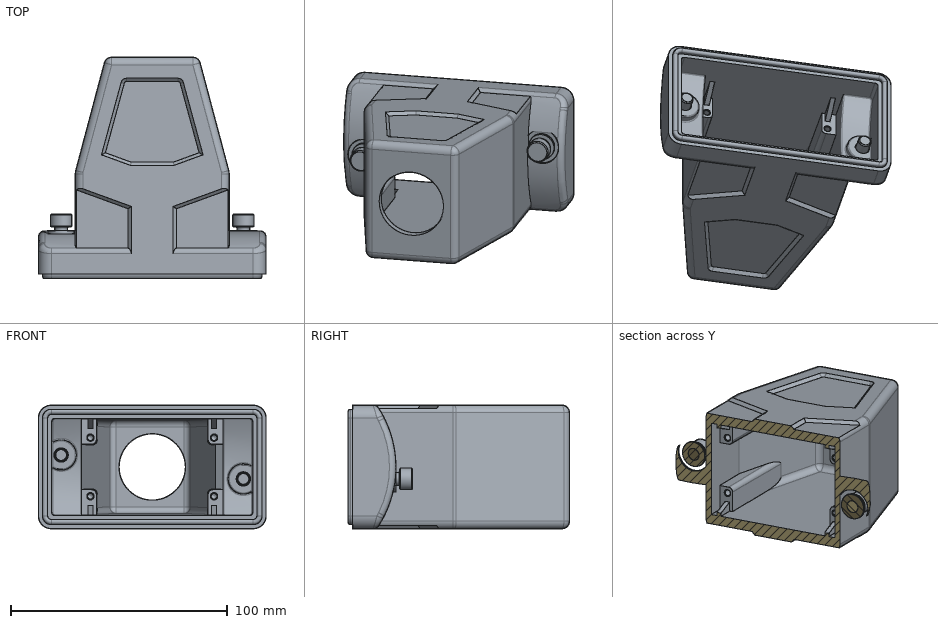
import cadquery as cq
import math


OVERLAP = 1.0
SELECT_MARGIN = 0.1

HEIGHT = 57.0
HALF_HEIGHT = HEIGHT / 2
BODY_LENGTH = 100.0
BODY_HALF_WIDTH = 35.5
REAR_HALF_WIDTH = 21.4
TAPER_START = 47.0
TAPER_BLEND_RADIUS = 6.0
BODY_EDGE_RADIUS = 3.5
CABLE_HOLE_DIAMETER = 30.5

FLANGE_WIDTH = 105.0
FLANGE_HALF_WIDTH = FLANGE_WIDTH / 2
FLANGE_CORNER_RADIUS = 6.0
FLANGE_DEPTH = 20.0
FLANGE_CROWN_RADIUS = 50.0
FLANGE_EDGE_RADIUS = 3.0
CROWN_CENTRE_Y = FLANGE_DEPTH - FLANGE_CROWN_RADIUS

RECESS_DEPTH = 1.5
RECESS_WALL_TAPER = 45.0
RECESS_TIP_SLOPE = math.radians(20.0)
GRIP_INNER_X = 9.65
GRIP_INNER_Y = 31.2
GRIP_OUTER_X = FLANGE_HALF_WIDTH
LABEL_REAR_HALF_WIDTH = 13.8
LABEL_REAR_Y = 90.3
LABEL_FRONT_HALF_WIDTH = 23.4
LABEL_SIDE_Y = 55.0
LABEL_TIP_HALF_WIDTH = 10.0
LABEL_CORNER_RADIUS = 2.6

CAVITY_HALF_WIDTH = 32.5
CAVITY_HALF_HEIGHT = 22.4
CAVITY_REAR_HALF_HEIGHT = 21.4
CAVITY_REAR_Y = 96.0
CAVITY_RADIUS = 3.0
CAVITY_DRAFT = math.degrees(math.atan((CAVITY_HALF_HEIGHT - CAVITY_REAR_HALF_HEIGHT) / CAVITY_REAR_Y))
CAVITY_STEP_RADIUS = 0.5
LEFT_TAPER_Y = 45.0
LEFT_REAR_X = 18.9
RIGHT_STEP_X = 29.2
RIGHT_STEP_Y = 50.0
RIGHT_STEP_LENGTH = 2.0
RIGHT_REAR_X = 16.9
MOUTH_HALF_WIDTH = 46.4
MOUTH_CORNER_RADIUS = 1.5
FLANGE_ROOF_THICKNESS = 3.0

POST_FRONT_Y = 27.0
POST_REAR_Y = 72.0
POST_INNER_X = 25.8
POST_INNER_Z = 10.5
POST_CORNER_RADIUS = 2.0
POST_DRAFT = 0.6
POST_HOLE_X = 28.5
POST_HOLE_Z = 13.5
POST_HOLE_DIAMETER = 2.67
POST_HOLE_CHAMFER = 0.35
POST_HOLE_DEPTH = 12.0
DRILL_TIP_ANGLE = 118.0
GUSSET_WIDTH = 2.3
GUSSET_HEIGHT = 4.7
GUSSET_LENGTH = 12.5

SCREW_X = 42.0
SCREW_Z = 5.5
SCREW_DIAMETER = 6.0
SCREW_HOLE_DIAMETER = 6.6
SCREW_END_Y = 8.0
SCREW_END_CHAMFER = 0.5
HEAD_DIAMETER = 10.0
HEAD_BOTTOM_Y = 21.7
HEAD_HEIGHT = 6.0
HEAD_CHAMFER = 0.5
UNDERHEAD_RADIUS = 0.5
WASHER_DIAMETER = 12.0
WASHER_THICKNESS = 1.5
SEAT_DIAMETER = 16.0
SEAT_Y = FLANGE_DEPTH - WASHER_THICKNESS
INNER_BOSS_DIAMETER = 14.0
INNER_BOSS_Y = 13.5
INNER_BOSS_FILLET = 0.5
SCREW_PLACES = [(-SCREW_X, SCREW_Z), (SCREW_X, -SCREW_Z)]

GASKET_HEIGHT = 2.13
GASKET_INSET = 1.9
GASKET_SECTION = 2.4


def rounded_bar(half_width, half_height, radius, y_start, y_end):
    """Rectangular bar along Y with rounded long edges."""
    return (
        cq.Workplane("XZ", origin=(0, y_start, 0))
        .rect(2 * half_width, 2 * half_height)
        .extrude(y_start - y_end)
        .edges("|Y")
        .fillet(radius)
    )


def y_cylinder(x, z, diameter, y_start, y_end):
    """Cylinder along Y between two Y positions."""
    return cq.Workplane("XZ", origin=(x, y_start, z)).circle(diameter / 2).extrude(y_start - y_end)


def crown(radius, half_width):
    """Solid below an arc-shaped roof that curves across Z."""
    return (
        cq.Workplane("YZ", origin=(-half_width, 0, 0))
        .center(CROWN_CENTRE_Y, 0)
        .circle(radius)
        .extrude(2 * half_width)
    )


def mirrored_across_z(shape):
    return shape.union(shape.mirror("XY"))


def recess_cutter(outline):
    """Cutter whose walls slope inward from the outline on the face down to the recess floor."""
    return outline.extrude(-RECESS_DEPTH, taper=RECESS_WALL_TAPER)


def grip_recess(side):
    """Recess on one side of the upper face, open towards the side wall and the flange."""
    outer_rise = (GRIP_OUTER_X - GRIP_INNER_X) * math.tan(RECESS_TIP_SLOPE)
    outline = cq.Workplane("XY", origin=(0, 0, HALF_HEIGHT)).polyline(
        [
            (side * GRIP_INNER_X, 0),
            (side * GRIP_INNER_X, GRIP_INNER_Y),
            (side * GRIP_OUTER_X, GRIP_INNER_Y + outer_rise),
            (side * GRIP_OUTER_X, 0),
        ]
    ).close()
    return recess_cutter(outline)


def label_recess():
    """Shield-shaped recess near the cable end of the upper face."""
    tip_drop = (LABEL_FRONT_HALF_WIDTH - LABEL_TIP_HALF_WIDTH) * math.tan(RECESS_TIP_SLOPE)
    tip_y = LABEL_SIDE_Y - tip_drop
    sketch = (
        cq.Sketch()
        .polygon(
            [
                (-LABEL_REAR_HALF_WIDTH, LABEL_REAR_Y),
                (LABEL_REAR_HALF_WIDTH, LABEL_REAR_Y),
                (LABEL_FRONT_HALF_WIDTH, LABEL_SIDE_Y),
                (LABEL_TIP_HALF_WIDTH, tip_y),
                (-LABEL_TIP_HALF_WIDTH, tip_y),
                (-LABEL_FRONT_HALF_WIDTH, LABEL_SIDE_Y),
                (-LABEL_REAR_HALF_WIDTH, LABEL_REAR_Y),
            ]
        )
        .vertices(">Y")
        .fillet(LABEL_CORNER_RADIUS)
    )
    return recess_cutter(cq.Workplane("XY", origin=(0, 0, HALF_HEIGHT)).placeSketch(sketch))


def tapered_body():
    """Outer block of the hood, with its recesses."""
    body = (
        cq.Workplane("XY", origin=(0, 0, -HALF_HEIGHT))
        .polyline(
            [
                (-BODY_HALF_WIDTH, 0),
                (BODY_HALF_WIDTH, 0),
                (BODY_HALF_WIDTH, TAPER_START),
                (REAR_HALF_WIDTH, BODY_LENGTH),
                (-REAR_HALF_WIDTH, BODY_LENGTH),
                (-BODY_HALF_WIDTH, TAPER_START),
            ]
        )
        .close()
        .extrude(HEIGHT)
    )
    taper_breaks = cq.selectors.BoxSelector(
        (-FLANGE_WIDTH, TAPER_START - SELECT_MARGIN, -SELECT_MARGIN),
        (FLANGE_WIDTH, TAPER_START + SELECT_MARGIN, SELECT_MARGIN),
    )
    body = body.edges(taper_breaks).fillet(TAPER_BLEND_RADIUS)
    body = body.edges("(>Z or <Z or >Y) and (not <Y)").fillet(BODY_EDGE_RADIUS)
    for recess in (grip_recess(-1), grip_recess(1), label_recess()):
        body = body.cut(mirrored_across_z(recess))
    return body


def flange():
    """Rounded rectangular flange with a crowned back and the two flat washer seats."""
    plate = rounded_bar(FLANGE_HALF_WIDTH, HALF_HEIGHT, FLANGE_CORNER_RADIUS, 0, FLANGE_DEPTH)
    plate = plate.intersect(crown(FLANGE_CROWN_RADIUS, FLANGE_WIDTH))
    plate = plate.faces(">Y").edges().fillet(FLANGE_EDGE_RADIUS)
    for x, z in SCREW_PLACES:
        plate = plate.cut(y_cylinder(x, z, SEAT_DIAMETER, SEAT_Y, FLANGE_DEPTH + OVERLAP))
    return plate


def flange_cavity():
    """Wide cavity behind the mouth, roofed parallel to the crown and indented by the screw bosses."""
    mouth = (
        cq.Sketch()
        .rect(2 * MOUTH_HALF_WIDTH, 2 * CAVITY_HALF_HEIGHT)
        .vertices()
        .fillet(MOUTH_CORNER_RADIUS)
    )
    cavity = cq.Workplane("XZ").placeSketch(mouth).extrude(-FLANGE_DEPTH, taper=CAVITY_DRAFT)
    cavity = cavity.intersect(crown(FLANGE_CROWN_RADIUS - FLANGE_ROOF_THICKNESS, FLANGE_WIDTH))
    for x, z in SCREW_PLACES:
        boss = y_cylinder(x, z, INNER_BOSS_DIAMETER, INNER_BOSS_Y, FLANGE_DEPTH)
        cavity = cavity.cut(boss)
    boss_edges = cq.selectors.BoxSelector(
        (-FLANGE_WIDTH, INNER_BOSS_Y - SELECT_MARGIN, -HALF_HEIGHT),
        (FLANGE_WIDTH, FLANGE_DEPTH, HALF_HEIGHT),
    )
    return cavity.edges(boss_edges).fillet(INNER_BOSS_FILLET)


def body_cavity():
    """Tapered cavity inside the body; its right wall steps inward ahead of the taper."""
    plan = (
        cq.Workplane("XY", origin=(0, 0, -CAVITY_HALF_HEIGHT))
        .polyline(
            [
                (-CAVITY_HALF_WIDTH, 0),
                (CAVITY_HALF_WIDTH, 0),
                (CAVITY_HALF_WIDTH, RIGHT_STEP_Y - RIGHT_STEP_LENGTH),
                (RIGHT_STEP_X, RIGHT_STEP_Y),
                (RIGHT_REAR_X, CAVITY_REAR_Y),
                (-LEFT_REAR_X, CAVITY_REAR_Y),
                (-CAVITY_HALF_WIDTH, LEFT_TAPER_Y),
            ]
        )
        .close()
        .extrude(2 * CAVITY_HALF_HEIGHT)
    )
    draft = (
        cq.Workplane("YZ", origin=(-CAVITY_HALF_WIDTH, 0, 0))
        .polyline(
            [
                (0, -CAVITY_HALF_HEIGHT),
                (CAVITY_REAR_Y, -CAVITY_REAR_HALF_HEIGHT),
                (CAVITY_REAR_Y, CAVITY_REAR_HALF_HEIGHT),
                (0, CAVITY_HALF_HEIGHT),
            ]
        )
        .close()
        .extrude(2 * CAVITY_HALF_WIDTH)
    )
    cavity = plan.intersect(draft)
    tapered_part = cq.selectors.BoxSelector(
        (-FLANGE_WIDTH, RIGHT_STEP_Y + SELECT_MARGIN, -HEIGHT), (FLANGE_WIDTH, BODY_LENGTH, HEIGHT)
    )
    return cavity.edges(tapered_part).fillet(CAVITY_RADIUS)


def post_hole():
    """Drilled and chamfered hole of the upper right post, with a conical bottom."""
    radius = POST_HOLE_DIAMETER / 2
    tip = radius / math.tan(math.radians(DRILL_TIP_ANGLE / 2))
    return (
        cq.Workplane("XY")
        .polyline(
            [
                (0, 0),
                (radius + POST_HOLE_CHAMFER, 0),
                (radius, POST_HOLE_CHAMFER),
                (radius, POST_HOLE_DEPTH),
                (0, POST_HOLE_DEPTH + tip),
            ]
        )
        .close()
        .revolve(360, (0, 0, 0), (0, 1, 0))
        .translate((POST_HOLE_X, POST_FRONT_Y, POST_HOLE_Z))
    )


def insert_post():
    """Upper right post with its gusset, joined to the side wall and the roof of the cavity."""
    root_x = CAVITY_HALF_WIDTH + OVERLAP
    root_z = CAVITY_HALF_HEIGHT + OVERLAP
    front = (
        cq.Sketch()
        .polygon(
            [
                (POST_INNER_X, POST_INNER_Z),
                (root_x, POST_INNER_Z),
                (root_x, root_z),
                (POST_INNER_X, root_z),
                (POST_INNER_X, POST_INNER_Z),
            ]
        )
        .vertices("<X and <Y")
        .fillet(POST_CORNER_RADIUS)
    )
    post = (
        cq.Workplane("XZ", origin=(0, POST_FRONT_Y, 0))
        .placeSketch(front)
        .extrude(POST_FRONT_Y - POST_REAR_Y, taper=-POST_DRAFT)
        .cut(post_hole())
    )
    gusset = (
        cq.Workplane("YZ", origin=(POST_HOLE_X - GUSSET_WIDTH / 2, 0, 0))
        .polyline(
            [
                (POST_FRONT_Y - GUSSET_LENGTH, CAVITY_HALF_HEIGHT),
                (POST_FRONT_Y - GUSSET_LENGTH, root_z),
                (POST_FRONT_Y, root_z),
                (POST_FRONT_Y, CAVITY_HALF_HEIGHT - GUSSET_HEIGHT),
            ]
        )
        .close()
        .extrude(GUSSET_WIDTH)
    )
    return post.union(gusset)


def make_hood():
    hood = tapered_body().union(flange())
    right_posts = mirrored_across_z(insert_post())
    cavity = flange_cavity().union(body_cavity())
    for side in (-1, 1):
        roof_edge = cq.selectors.NearestToPointSelector((side * CAVITY_HALF_WIDTH, INNER_BOSS_Y, 0))
        cavity = cavity.edges("%CIRCLE").edges(roof_edge).fillet(CAVITY_STEP_RADIUS)
    cavity = cavity.cut(right_posts).cut(right_posts.mirror("YZ"))
    hood = hood.cut(cavity)
    hood = hood.cut(y_cylinder(0, 0, CABLE_HOLE_DIAMETER, CAVITY_REAR_Y - OVERLAP, BODY_LENGTH + OVERLAP))
    for x, z in SCREW_PLACES:
        hood = hood.cut(y_cylinder(x, z, SCREW_HOLE_DIAMETER, 0, FLANGE_DEPTH))
    return hood


def make_gasket():
    """Seal ring lying on the flange face, with a half-round crest."""
    half_section = GASKET_SECTION / 2
    path_inset = GASKET_INSET + half_section
    path_half_width = FLANGE_HALF_WIDTH - path_inset
    path_bar = rounded_bar(
        path_half_width,
        HALF_HEIGHT - path_inset,
        FLANGE_CORNER_RADIUS - path_inset,
        0,
        FLANGE_DEPTH,
    )
    path = path_bar.faces("<Y").wires().val()
    section = (
        cq.Workplane("XY", origin=(path_half_width, 0, 0))
        .moveTo(half_section, 0)
        .lineTo(half_section, half_section - GASKET_HEIGHT)
        .threePointArc((0, -GASKET_HEIGHT), (-half_section, half_section - GASKET_HEIGHT))
        .lineTo(-half_section, 0)
        .close()
    )
    return section.sweep(path)


def make_screw(x, z):
    """Cylinder-head screw along Y with its head outside the flange."""
    head = y_cylinder(x, z, HEAD_DIAMETER, HEAD_BOTTOM_Y, HEAD_BOTTOM_Y + HEAD_HEIGHT)
    head = head.faces("<Y or >Y").edges().chamfer(HEAD_CHAMFER)
    shank = y_cylinder(x, z, SCREW_DIAMETER, SCREW_END_Y, HEAD_BOTTOM_Y)
    shank = shank.faces("<Y").edges().chamfer(SCREW_END_CHAMFER)
    reach = SCREW_DIAMETER / 2 + SELECT_MARGIN
    underhead = cq.selectors.BoxSelector(
        (x - reach, HEAD_BOTTOM_Y - SELECT_MARGIN, z - reach),
        (x + reach, HEAD_BOTTOM_Y + SELECT_MARGIN, z + reach),
        boundingbox=True,
    )
    return head.union(shank).edges(underhead).fillet(UNDERHEAD_RADIUS)


def make_washer(x, z):
    """Flat washer filling the seat around the screw."""
    disc = y_cylinder(x, z, WASHER_DIAMETER, SEAT_Y, SEAT_Y + WASHER_THICKNESS)
    return disc.cut(y_cylinder(x, z, SCREW_DIAMETER, SEAT_Y, SEAT_Y + WASHER_THICKNESS))


hood = make_hood()
gasket = make_gasket()
screws = [make_screw(x, z).val() for x, z in SCREW_PLACES]
washers = [make_washer(x, z).val() for x, z in SCREW_PLACES]

result = cq.Compound.makeCompound([*hood.vals(), *gasket.vals(), *screws, *washers])